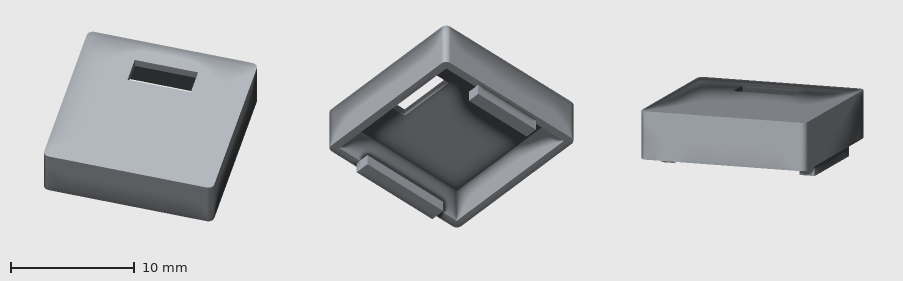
import cadquery as cq

side = 14.25
total_height = 5.0
foot_height = 1.0
body_height = total_height - foot_height
corner_radius = 0.5
wall = 0.7

window_length = 5.3
window_width = 2.25
window_center_y = 3.85

feet_center_y = 0.04
left_foot_width = 1.11
left_foot_length = 6.33
left_foot_inset = 0.4
right_foot_width = 1.31
right_foot_length = 8.3
right_foot_inset = 0.31


def make_housing():
    """Round-cornered box hollowed from below, resting on Z = 0."""
    box = (
        cq.Workplane("XY")
        .rect(side, side)
        .extrude(body_height)
        .edges("|Z")
        .fillet(corner_radius)
    )
    inner_side = side - 2 * wall
    cavity = cq.Workplane("XY").rect(inner_side, inner_side).extrude(body_height - wall)
    return box.cut(cavity)


def make_window():
    """Cutter for the opening through the top wall."""
    return (
        cq.Workplane("XY", origin=(0, window_center_y, body_height))
        .rect(window_length, window_width)
        .extrude(-wall)
    )


def make_foot(direction, width, length, inset):
    """Foot below the wall on the given X side, inset from its outer face."""
    center_x = direction * (side / 2 - inset - width / 2)
    return (
        cq.Workplane("XY", origin=(center_x, feet_center_y, 0))
        .rect(width, length)
        .extrude(-foot_height)
    )


left_foot = make_foot(-1, left_foot_width, left_foot_length, left_foot_inset)
right_foot = make_foot(1, right_foot_width, right_foot_length, right_foot_inset)

result = make_housing().cut(make_window()).union(left_foot).union(right_foot)